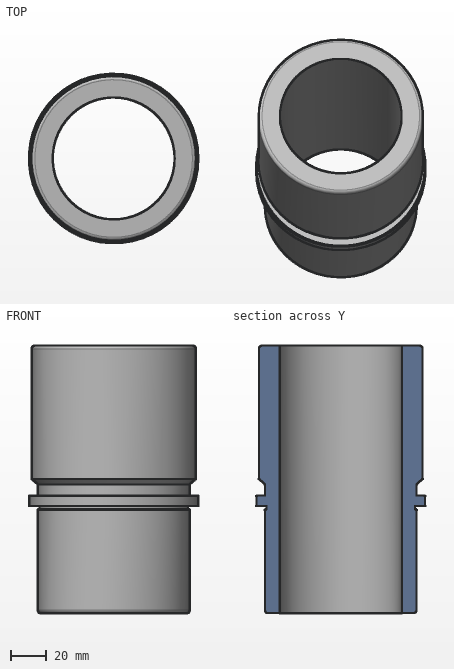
import cadquery as cq

length = 150.0
bore_radius = 34.0
edge_fillet = 2.0
edge_break = 0.5

head_radius = 46.0
shank_radius = 42.6
collar_radius = 95.0 / 2
groove_radius = 41.7

groove_bottom = 58.4
collar_bottom = 60.0
collar_top = 66.2
head_bottom = 75.3
taper_height = 3.0
taper_bottom = head_bottom - taper_height

profile = (
    cq.Workplane("XZ")
    .moveTo(bore_radius, 0)
    .lineTo(shank_radius, 0)
    .lineTo(shank_radius, groove_bottom - edge_break)
    .lineTo(shank_radius - edge_break, groove_bottom)
    .lineTo(groove_radius, groove_bottom)
    .lineTo(groove_radius, collar_bottom)
    .lineTo(collar_radius, collar_bottom)
    .lineTo(collar_radius, collar_top - edge_break)
    .lineTo(collar_radius - edge_break, collar_top)
    .lineTo(shank_radius, collar_top)
    .lineTo(shank_radius, taper_bottom)
    .lineTo(head_radius, head_bottom)
    .lineTo(head_radius, length)
    .lineTo(bore_radius, length)
    .close()
)
sleeve = profile.revolve(360, (0, 0, 0), (0, 1, 0))

result = (
    sleeve
    .faces("<Z").edges(cq.selectors.RadiusNthSelector(-1)).fillet(edge_fillet)
    .faces(">Z").edges(cq.selectors.RadiusNthSelector(-1)).fillet(edge_fillet)
)